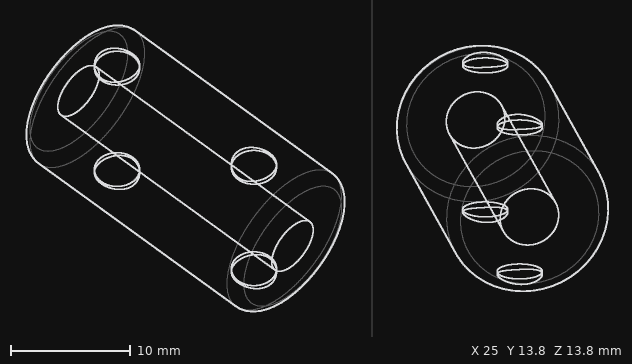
import cadquery as cq

length = 25.0
outer_diameter = 13.8
bore_diameter = 5.0
end_round = 1.0

recess_diameter = 3.8
recess_depth = 0.5
recess_end_distance = 4.5

outer_radius = outer_diameter / 2
bore_radius = bore_diameter / 2
recess_x = length / 2 - recess_end_distance
floor_height = outer_radius - recess_depth


def make_sleeve():
    """Round bar with rounded outer end edges and a through bore."""
    wall = outer_radius - bore_radius
    sleeve = (
        cq.Workplane("XZ")
        .moveTo(-length / 2, bore_radius)
        .rect(length, wall, centered=False)
        .revolve(360, (0, 0), (1, 0))
    )
    outer_end_edges = sleeve.faces("<X or >X").edges(cq.selectors.RadiusNthSelector(-1))
    return outer_end_edges.fillet(end_round)


def make_recess_cutters(side):
    """Cutters for both recesses on one side: +1 is the top, -1 the bottom."""
    return (
        cq.Workplane("XY")
        .workplane(offset=side * floor_height)
        .pushPoints([(-recess_x, 0), (recess_x, 0)])
        .circle(recess_diameter / 2)
        .extrude(side * recess_depth)
    )


result = make_sleeve()
for side in (1, -1):
    result = result.cut(make_recess_cutters(side))